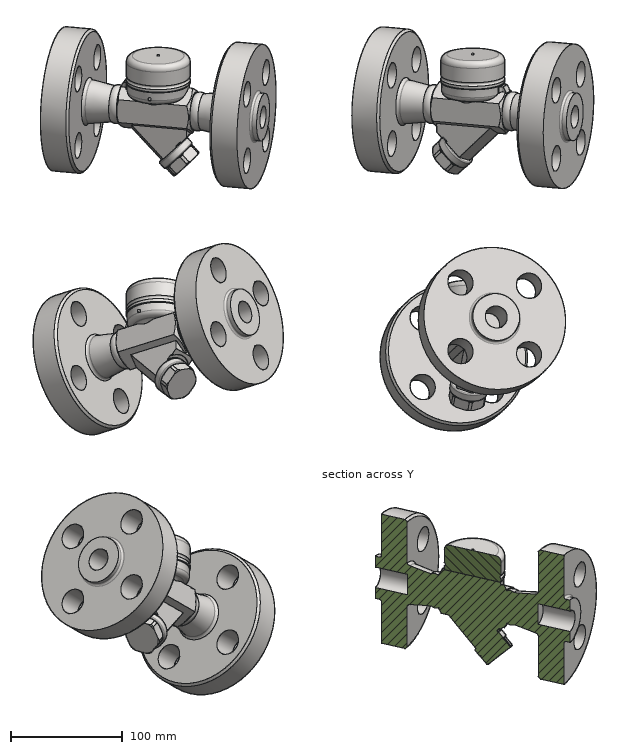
import cadquery as cq
import math

half_hex_angle = math.pi / 6

overall_length = 195.0
half_length = overall_length / 2
flange_radius = 130.0 / 2
flange_thickness = 26.0
flange_chamfer = 2.1
raised_face_radius = 42.9 / 2
raised_face_height = 6.0
raised_face_fillet = 2.0
bore_diameter = 20.0
bolt_hole_diameter = 23.0
bolt_circle_radius = 44.5
bolt_count = 4

flange_face_x = half_length - raised_face_height
flange_back_x = flange_face_x - flange_thickness
bore_depth = raised_face_height + flange_thickness

hub_fillet_radius = 21.6
hub_large_radius = 19.7
hub_small_radius = 16.4
hub_large_x = 62.4
hub_small_x = 41.5
hub_fillet_sag = 0.4
bead_crest_radius = 17.5

hex_flats = 37.2
hex_corner_radius = hex_flats / 2 / math.cos(half_hex_angle)
hex_half_length = 34.1
hex_end_chamfer = 2.5
hex_end_radius = 17.4

bowl_bottom_radius = 27.7
bowl_top_radius = 28.3
bowl_top_z = 23.5
bowl_bottom_z = 11.3
bowl_fillet = 5.0
bowl_neck_radius = 18.1
bowl_neck_fillet = 4.7
bowl_mark_radius = 3.0 / 2
bowl_mark_y = -28.7
bowl_mark_z = 17.4

lug_half_width = 5.0
lug_top_z = 23.0
lug_top_start_x = 31.0
lug_foot_z = hex_end_radius
lug_fillet_start_x = 30.6
lug_fillet = 2.7

leg_slope = 45.0
leg_axis_offset = 17.5
leg_half_thickness = 12.9
leg_end = 36.7
leg_right_x = 29.8
spot_face_diameter = 40.0
spot_face_depth = 1.2
leg_boss_diameter = 33.2

collar_radius = 34.0 / 2
collar_length = 7.8
collar_fillet = 1.0
plug_flats = 30.0
plug_corner_radius = 16.5
plug_length = 10.3
plug_chamfer = 1.0

cover_radius = 57.5 / 2
cover_top_z = 49.1
cover_fillet = 5.7
cover_groove_top_z = 30.2
cover_groove_bottom_z = 27.0
cover_groove_depth = 1.2
cover_spigot_radius = 56.0 / 2
cover_spigot_height = 0.5
cover_mark_radius = 1.2

slope = math.radians(leg_slope)
leg_frame = cq.Plane(
    origin=(-leg_axis_offset * math.cos(slope), 0, -leg_axis_offset * math.sin(slope)),
    xDir=(math.cos(slope), 0, math.sin(slope)),
    normal=(math.sin(slope), 0, -math.cos(slope)),
)


def leg_station(distance):
    """Work plane square to the leg axis, at a distance along it."""
    return cq.Workplane(leg_frame).workplane(offset=distance)


def make_pipe_end():
    """Flange, raised face and tapered hub of the +X end, reaching in to the hexagonal bar."""
    quarter = math.sqrt(0.5)
    fillet_x = flange_face_x + raised_face_fillet
    fillet_r = raised_face_radius + raised_face_fillet
    profile = (
        cq.Workplane("XY")
        .moveTo(0, 0)
        .lineTo(0, hub_small_radius)
        .lineTo(hex_half_length, hub_small_radius)
        .threePointArc(
            ((hex_half_length + hub_small_x) / 2, bead_crest_radius),
            (hub_small_x, hub_small_radius),
        )
        .lineTo(hub_large_x, hub_large_radius)
        .threePointArc(
            (
                (hub_large_x + flange_back_x) / 2 + hub_fillet_sag,
                (hub_large_radius + hub_fillet_radius) / 2 - hub_fillet_sag,
            ),
            (flange_back_x, hub_fillet_radius),
        )
        .lineTo(flange_back_x, flange_radius - flange_chamfer)
        .lineTo(flange_back_x + flange_chamfer, flange_radius)
        .lineTo(flange_face_x, flange_radius)
        .lineTo(flange_face_x, fillet_r)
        .threePointArc(
            (fillet_x - raised_face_fillet * quarter, fillet_r - raised_face_fillet * quarter),
            (fillet_x, raised_face_radius),
        )
        .lineTo(half_length, raised_face_radius)
        .lineTo(half_length, 0)
        .close()
    )
    solid = profile.revolve(360, (0, 0, 0), (1, 0, 0))
    bolt_holes = (
        cq.Workplane("YZ")
        .workplane(offset=flange_back_x)
        .polarArray(bolt_circle_radius, 180 / bolt_count, 360, bolt_count)
        .circle(bolt_hole_diameter / 2)
        .extrude(flange_thickness)
    )
    bore = (
        cq.Workplane("YZ")
        .workplane(offset=half_length - bore_depth)
        .circle(bore_diameter / 2)
        .extrude(bore_depth)
    )
    return solid.cut(bolt_holes).cut(bore)


def make_hex_bar():
    """Hexagonal bar with an edge on top and turned bevels at its ends."""
    bar = (
        cq.Workplane("YZ")
        .workplane(offset=-hex_half_length)
        .transformed(rotate=(0, 0, 90))
        .polygon(6, 2 * hex_corner_radius)
        .extrude(2 * hex_half_length)
    )
    bevel_envelope = (
        cq.Workplane("YZ")
        .workplane(offset=-hex_half_length)
        .circle(hex_corner_radius)
        .extrude(2 * hex_half_length)
        .edges().chamfer(hex_end_chamfer, hex_corner_radius - hex_end_radius)
    )
    return bar.intersect(bevel_envelope)


def make_bowl():
    """Round bowl with a rounded lower edge, blended by a neck into the bar."""
    bowl = (
        cq.Workplane("XY")
        .workplane(offset=bowl_bottom_z)
        .circle(bowl_bottom_radius)
        .workplane(offset=bowl_top_z - bowl_bottom_z)
        .circle(bowl_top_radius)
        .loft(ruled=True)
        .faces("<Z").edges().fillet(bowl_fillet)
    )
    bend = bowl_neck_fillet * (1 - math.sqrt(0.5))
    flare_radius = bowl_neck_radius + bowl_neck_fillet
    neck = (
        cq.Workplane("XZ")
        .moveTo(0, 0)
        .lineTo(bowl_neck_radius, 0)
        .lineTo(bowl_neck_radius, bowl_bottom_z - bowl_neck_fillet)
        .threePointArc(
            (bowl_neck_radius + bend, bowl_bottom_z - bend),
            (flare_radius, bowl_bottom_z),
        )
        .lineTo(0, bowl_bottom_z)
        .close()
        .revolve(360, (0, 0, 0), (0, 1, 0))
    )
    mark = cq.Workplane("XY").sphere(bowl_mark_radius).translate((0, bowl_mark_y, bowl_mark_z))
    return bowl.union(neck).union(mark)


def make_lug():
    """Stop lug on the -X side of the bowl, sloping outside and flared into the bowl by concave corners."""
    flare_x = -lug_fillet_start_x + lug_fillet
    flare_y = lug_half_width + lug_fillet
    bend = lug_fillet * math.sqrt(0.5)
    lug = (
        cq.Workplane("XY")
        .moveTo(-hex_half_length, -lug_half_width)
        .lineTo(-lug_fillet_start_x, -lug_half_width)
        .threePointArc((-lug_fillet_start_x + bend, -flare_y + bend), (flare_x, -flare_y))
        .lineTo(0, -flare_y)
        .lineTo(0, flare_y)
        .lineTo(flare_x, flare_y)
        .threePointArc((-lug_fillet_start_x + bend, flare_y - bend), (-lug_fillet_start_x, lug_half_width))
        .lineTo(-hex_half_length, lug_half_width)
        .close()
        .extrude(lug_top_z)
    )
    side_shape = (
        cq.Workplane("XZ")
        .polyline([
            (0, lug_foot_z),
            (-hex_half_length, lug_foot_z),
            (-lug_top_start_x, lug_top_z),
            (0, lug_top_z),
        ])
        .close()
        .extrude(flare_y, both=True)
    )
    return lug.intersect(side_shape)


def make_leg():
    """Sloping leg with flat sides, a ridged underside and a spot face around the plug seat."""
    shoulder = leg_half_thickness * math.tan(half_hex_angle)
    ridge = leg_half_thickness / math.cos(half_hex_angle)
    reach = 2 * leg_end
    leg = (
        leg_station(leg_end - reach)
        .polyline([
            (reach, -leg_half_thickness),
            (-shoulder, -leg_half_thickness),
            (-ridge, 0),
            (-shoulder, leg_half_thickness),
            (reach, leg_half_thickness),
        ])
        .close()
        .extrude(reach)
    )
    trim_box = cq.Workplane("XY").box(
        2 * reach, 2 * leg_half_thickness, 2 * reach, centered=(False, True, False)
    ).translate((leg_right_x - 2 * reach, 0, -2 * reach))
    spot_face = (
        leg_station(leg_end - spot_face_depth)
        .circle(spot_face_diameter / 2)
        .circle(leg_boss_diameter / 2)
        .extrude(spot_face_depth)
    )
    return leg.intersect(trim_box).cut(spot_face)


def make_plug():
    """Round collar and bevelled hexagon head that form the end of the leg, part of the housing."""
    collar = leg_station(leg_end).circle(collar_radius).extrude(collar_length)
    collar = collar.edges().fillet(collar_fillet)
    head_start = leg_end + collar_length
    head = (
        leg_station(head_start)
        .polygon(6, plug_flats / math.cos(half_hex_angle))
        .extrude(plug_length)
    )
    envelope = leg_station(head_start).circle(plug_corner_radius).extrude(plug_length)
    envelope = envelope.edges().chamfer(plug_chamfer)
    return collar.union(head.intersect(envelope))


def make_cover():
    """Round-edged cover with a groove, a short spigot resting on the bowl and a small mark on top."""
    rim_z = bowl_top_z + cover_spigot_height
    groove_middle_z = (cover_groove_top_z + cover_groove_bottom_z) / 2
    bend = cover_fillet * (1 - math.sqrt(0.5))
    cover = (
        cq.Workplane("XZ")
        .moveTo(0, bowl_top_z)
        .lineTo(cover_spigot_radius, bowl_top_z)
        .lineTo(cover_spigot_radius, rim_z)
        .lineTo(cover_radius, rim_z)
        .lineTo(cover_radius, cover_groove_bottom_z)
        .threePointArc(
            (cover_radius - cover_groove_depth, groove_middle_z),
            (cover_radius, cover_groove_top_z),
        )
        .lineTo(cover_radius, cover_top_z - cover_fillet)
        .threePointArc(
            (cover_radius - bend, cover_top_z - bend),
            (cover_radius - cover_fillet, cover_top_z),
        )
        .lineTo(0, cover_top_z)
        .close()
        .revolve(360, (0, 0, 0), (0, 1, 0))
    )
    mark = cq.Workplane("XY").sphere(cover_mark_radius).translate((0, 0, cover_top_z))
    return cover.union(mark)


outlet = make_pipe_end()
inlet = outlet.mirror("YZ")
housing = make_hex_bar()
for piece in (outlet, inlet, make_bowl(), make_lug(), make_leg(), make_plug()):
    housing = housing.union(piece)
cover = make_cover()

result = cq.Compound.makeCompound([housing.solids().val(), cover.solids().val()])